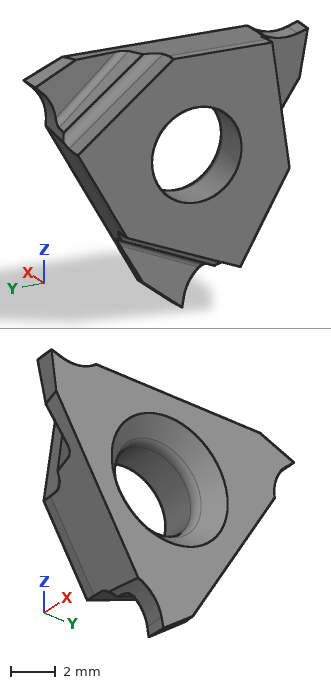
import cadquery as cq
import math


THICKNESS = 3.18
INSCRIBED_RADIUS = 4.72
TIP_COUNT = 3
RIM_HEIGHT = 0.5
FLANK_RELIEF = 5.0

BORE_RADIUS = 2.25
SINK_RADIUS = 3.3
SINK_BLEND = 0.7
SINK_ANGLE = 45.0

TIP_Y = -6.72
TIP_Z = 4.284
END_RELIEF = 7.4
END_DRAFT = 2.0

RAKE_RADIUS = 2.15
RAKE_LAND = 0.55
RAKE_LAND_ANGLE = 18.0
RAKE_OVERRUN = 1.0

STEP_ANGLE = 171.8
FIRST_WALL_OFFSET = 4.43
FIRST_FILLET = 0.5
FIRST_DEPTH = 1.43
SECOND_WALL_OFFSET = 4.92
SECOND_WALL_TAPER = 7.0
SECOND_FILLET = 0.3
TIP_WIDTH = 1.07
FLOOR_SIDE_CLEARANCE = 5.0
FLOOR_BACK_CLEARANCE = 2.5

REACH = 12.0


def tangent(degrees):
    return math.tan(math.radians(degrees))


def unit(degrees):
    """Cosine and sine of an angle: a unit vector in the plane at hand."""
    return math.cos(math.radians(degrees)), math.sin(math.radians(degrees))


def around_axis(shape, index):
    """Turn a shape about the bore axis to the tip with this index."""
    return shape.rotate((0, 0, 0), (1, 0, 0), index * 360 / TIP_COUNT)


def flank_cutter():
    """Everything outside the top flank: a straight rim, then a relieved face."""
    drop = (THICKNESS - RIM_HEIGHT) * tangent(FLANK_RELIEF)
    return (
        cq.Workplane("XZ")
        .moveTo(0, INSCRIBED_RADIUS)
        .lineTo(RIM_HEIGHT, INSCRIBED_RADIUS)
        .lineTo(THICKNESS, INSCRIBED_RADIUS - drop)
        .lineTo(THICKNESS, REACH)
        .lineTo(0, REACH)
        .close()
        .extrude(REACH, both=True)
    )


def bore_cutter():
    """Bore with its countersink: cylinder, tangent blend, then cone."""
    along, across = unit(SINK_ANGLE)
    cone_radius = BORE_RADIUS + SINK_BLEND * (1 - along)
    cone_start = THICKNESS - (SINK_RADIUS - cone_radius) / tangent(SINK_ANGLE)
    blend_start = cone_start - SINK_BLEND * across
    mid_along, mid_across = unit(SINK_ANGLE / 2)
    blend_middle = (blend_start + SINK_BLEND * mid_across, BORE_RADIUS + SINK_BLEND * (1 - mid_along))
    return (
        cq.Workplane("XY")
        .lineTo(0, BORE_RADIUS)
        .lineTo(blend_start, BORE_RADIUS)
        .threePointArc(blend_middle, (cone_start, cone_radius))
        .lineTo(THICKNESS, SINK_RADIUS)
        .lineTo(THICKNESS, 0)
        .close()
        .revolve(360, (0, 0, 0), (1, 0, 0))
    )


def end_cutter():
    """Block beyond the end face, which passes through the tip corner."""
    inward = THICKNESS * tangent(END_DRAFT)
    return (
        cq.Workplane("XY")
        .polyline([(0, inward), (THICKNESS, 0), (THICKNESS, -REACH), (0, -REACH)])
        .close()
        .extrude(REACH, both=True)
        .rotate((0, 0, 0), (1, 0, 0), END_RELIEF)
        .translate((0, TIP_Y, TIP_Z))
    )


def rake_cutter():
    """Hollow above the tip: a flat land running tangentially into an arc."""
    land_y, land_z = unit(RAKE_LAND_ANGLE)
    arc_start = (TIP_Y + RAKE_LAND * land_y, TIP_Z - RAKE_LAND * land_z)
    centre = (arc_start[0] + RAKE_RADIUS * land_z, arc_start[1] + RAKE_RADIUS * land_y)
    arc_bottom = (centre[0], centre[1] - RAKE_RADIUS)
    arc_end = (centre[0] + RAKE_RADIUS, centre[1])
    land_outer = (TIP_Y - RAKE_OVERRUN * land_y, TIP_Z + RAKE_OVERRUN * land_z)
    return (
        cq.Workplane("YZ")
        .moveTo(*land_outer)
        .lineTo(*arc_start)
        .threePointArc(arc_bottom, arc_end)
        .lineTo(arc_end[0], REACH)
        .lineTo(land_outer[0], REACH)
        .close()
        .extrude(THICKNESS)
    )


def filleted_step(plane, wall_top, wall_foot, floor_end, fillet):
    """Prism over a wall and a floor, with the edge where they meet rounded."""
    prism = (
        cq.Workplane(plane)
        .polyline([wall_top, wall_foot, floor_end, (floor_end[0], wall_top[1])])
        .close()
        .extrude(REACH, both=True)
    )
    foot = plane.toWorldCoords(wall_foot)
    return prism.edges(cq.selectors.NearestToPointSelector(foot)).fillet(fillet)


def first_step_cutter():
    """Step from the front face down to the shoulder, with an upright wall."""
    out_y, out_z = unit(STEP_ANGLE)
    plane = cq.Plane((0, 0, 0), (0, out_y, out_z), (0, -out_z, out_y))
    return filleted_step(
        plane,
        (FIRST_WALL_OFFSET, REACH),
        (FIRST_WALL_OFFSET, -FIRST_DEPTH),
        (REACH, -FIRST_DEPTH),
        FIRST_FILLET,
    )


def second_step_cutter():
    """Step down to the thin tip; its floor sinks away from the cutting corner."""
    out_y, out_z = unit(STEP_ANGLE)
    slope = tangent(FLOOR_SIDE_CLEARANCE)
    floor_x = THICKNESS - TIP_WIDTH
    plane = cq.Plane((floor_x, TIP_Y, TIP_Z), (0, out_y, out_z), (slope, -out_z, out_y))
    tip_offset = TIP_Y * out_y + TIP_Z * out_z
    wall_top_offset = SECOND_WALL_OFFSET - tip_offset
    wall_height = floor_x - FIRST_DEPTH
    taper = tangent(SECOND_WALL_TAPER)
    floor_slope = tangent(FLOOR_BACK_CLEARANCE)
    foot_offset = wall_top_offset + wall_height * taper
    return filleted_step(
        plane,
        (wall_top_offset - THICKNESS * taper, wall_height + THICKNESS),
        (foot_offset, foot_offset * floor_slope),
        (REACH, REACH * floor_slope),
        SECOND_FILLET,
    )


body = cq.Workplane("YZ").circle(REACH).extrude(THICKNESS).cut(bore_cutter())
cutters = [
    flank_cutter(),
    end_cutter(),
    rake_cutter(),
    first_step_cutter(),
    second_step_cutter(),
]
for cutter in cutters:
    for index in range(TIP_COUNT):
        body = body.cut(around_axis(cutter, index))

result = body